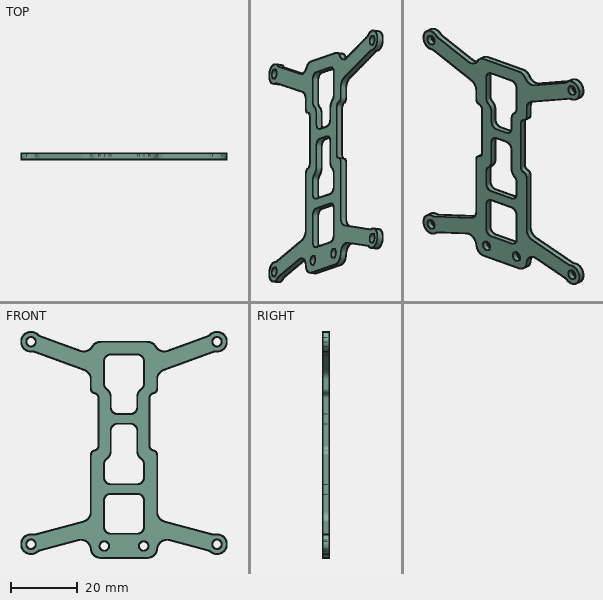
import cadquery as cq
import math

total_width = 61.85
total_height = 67.95
thickness = 2.0

ear_radius = 3.0
hole_diameter = 2.8
arm_width = 5.0
arm_root_x = 8.0
ear_fillet = 2.0
ear_x = total_width / 2 - ear_radius
upper_ear_z = total_height - ear_radius
lower_ear_z = 4.15
upper_arm_angle = 20.0
lower_arm_angle = 15.0

body_half_width = 10.0
body_height = upper_ear_z
body_corner_radius = 3.0
arm_blend_radius = 3.0
waist_half_width = 7.7
waist_bottom_z = 32.35
waist_top_z = 49.5
waist_shoulder_radii = (1.4, 1.4)
bottom_hole_x = 5.9
bottom_hole_z = 3.6

window_half_width = 6.0
window_neck_half_width = 3.95
window_corner_radius = 2.0
window_shoulder_radii = (2.0, 3.0)
lower_window_bottom_z = 7.35
window_web = 3.0
lower_window_top_z = 19.2
middle_window_bottom_z = lower_window_top_z + window_web
middle_window_shoulder_z = 29.75
middle_window_top_z = 40.3
upper_window_bottom_z = middle_window_top_z + window_web
upper_window_shoulder_z = 50.75
upper_window_top_z = 61.1


def stepped_plate(bottom_z, top_z, half_width, shoulders, shoulder_radii, corner_radius):
    """Symmetric upright plate whose width changes at S-shaped shoulders.

    Each shoulder is (height where its two arcs meet, half width above it), listed from
    bottom to top. The radii are those of the arcs on the wide and on the narrow side.
    """
    wide_radius, narrow_radius = shoulder_radii
    half = cq.Workplane("XZ").moveTo(0, bottom_z).lineTo(half_width, bottom_z)
    for meeting_z, next_half_width in shoulders:
        step = abs(next_half_width - half_width)
        turn = math.acos(1 - step / (wide_radius + narrow_radius))
        meeting_x = max(half_width, next_half_width) - wide_radius * (1 - math.cos(turn))
        if next_half_width < half_width:
            lower_radius, upper_radius = wide_radius, narrow_radius
        else:
            lower_radius, upper_radius = narrow_radius, wide_radius
        start_z = meeting_z - lower_radius * math.sin(turn)
        end_z = meeting_z + upper_radius * math.sin(turn)
        half = half.lineTo(half_width, start_z)
        half = half.tangentArcPoint((meeting_x, meeting_z), relative=False)
        half = half.tangentArcPoint((next_half_width, end_z), relative=False)
        half_width = next_half_width
    half = half.lineTo(half_width, top_z).lineTo(0, top_z).close().extrude(-thickness)
    whole = half.union(half.mirror("YZ")).clean()
    return whole.edges("|Y and (>Z or <Z)").fillet(corner_radius)


def disc(x, z, radius):
    return cq.Workplane("XZ").center(x, z).circle(radius).extrude(-thickness)


def make_body():
    shoulders = [(waist_bottom_z, waist_half_width), (waist_top_z, body_half_width)]
    return stepped_plate(
        0, body_height, body_half_width, shoulders, waist_shoulder_radii, body_corner_radius
    )


def make_window(bottom_z, top_z, half_width, shoulders):
    return stepped_plate(
        bottom_z, top_z, half_width, shoulders, window_shoulder_radii, window_corner_radius
    )


def make_windows():
    lower = make_window(lower_window_bottom_z, lower_window_top_z, window_half_width, [])
    middle = make_window(
        middle_window_bottom_z,
        middle_window_top_z,
        window_half_width,
        [(middle_window_shoulder_z, window_neck_half_width)],
    )
    upper = make_window(
        upper_window_bottom_z,
        upper_window_top_z,
        window_neck_half_width,
        [(upper_window_shoulder_z, window_half_width)],
    )
    return lower.union(middle).union(upper)


def make_arm(ear_z, slope):
    """Left arm with its ear; slope is the angle at which it rises towards the body."""
    length = (ear_x - arm_root_x) / math.cos(math.radians(slope))
    bar = (
        cq.Workplane("XZ")
        .rect(length, arm_width)
        .extrude(-thickness)
        .translate((length / 2, 0, 0))
    )
    arm = disc(0, 0, ear_radius).union(bar)
    arm = arm.edges("|Y and (not >X)").fillet(ear_fillet)
    return arm.rotate((0, 0, 0), (0, 1, 0), -slope).translate((-ear_x, 0, ear_z))


def arm_edge_z(ear_z, slope, side):
    """Height at which an arm edge meets the body side; side is +1 above, -1 below."""
    angle = math.radians(slope)
    centre_z = ear_z + (ear_x - body_half_width) * math.tan(angle)
    return centre_z + side * arm_width / 2 / math.cos(angle)


def make_outer_blend(ear_z, slope, side):
    """Fill between an arm and the rounded body corner, hollowed by a tangent circle."""
    angle = math.radians(slope)
    along = (math.cos(angle), math.sin(angle))
    outward = (-side * math.sin(angle), side * math.cos(angle))
    corner_x = body_corner_radius - body_half_width
    corner_z = body_height - body_corner_radius if side > 0 else body_corner_radius

    dx = corner_x + ear_x
    dz = corner_z - ear_z
    corner_along = dx * along[0] + dz * along[1]
    corner_outward = dx * outward[0] + dz * outward[1]

    blend_outward = arm_width / 2 + arm_blend_radius
    reach = body_corner_radius + arm_blend_radius
    blend_along = corner_along - math.sqrt(reach**2 - (blend_outward - corner_outward) ** 2)

    def place(distance, offset):
        return (
            -ear_x + distance * along[0] + offset * outward[0],
            ear_z + distance * along[1] + offset * outward[1],
        )

    centre = place(blend_along, blend_outward)
    fill = (
        cq.Workplane("XZ")
        .polyline([
            centre,
            place(blend_along, arm_width / 2),
            place(corner_along, 0),
            (corner_x, corner_z),
        ])
        .close()
        .extrude(-thickness)
    )
    return fill.cut(disc(*centre, arm_blend_radius))


plate = make_body()
arms = [
    (upper_ear_z, -upper_arm_angle, 1),
    (lower_ear_z, lower_arm_angle, -1),
]

for ear_z, slope, outer_side in arms:
    arm = make_arm(ear_z, slope)
    plate = plate.union(arm).union(arm.mirror("YZ"))
    inner_z = arm_edge_z(ear_z, slope, -outer_side)
    for x in (-body_half_width, body_half_width):
        corner = cq.selectors.NearestToPointSelector((x, thickness / 2, inner_z))
        plate = plate.edges("|Y").edges(corner).fillet(arm_blend_radius)

for ear_z, slope, outer_side in arms:
    blend = make_outer_blend(ear_z, slope, outer_side)
    plate = plate.union(blend).union(blend.mirror("YZ"))

plate = plate.cut(make_windows())
for x, z in [(ear_x, upper_ear_z), (ear_x, lower_ear_z), (bottom_hole_x, bottom_hole_z)]:
    for side in (-1, 1):
        plate = plate.cut(disc(side * x, z, hole_diameter / 2))

result = plate